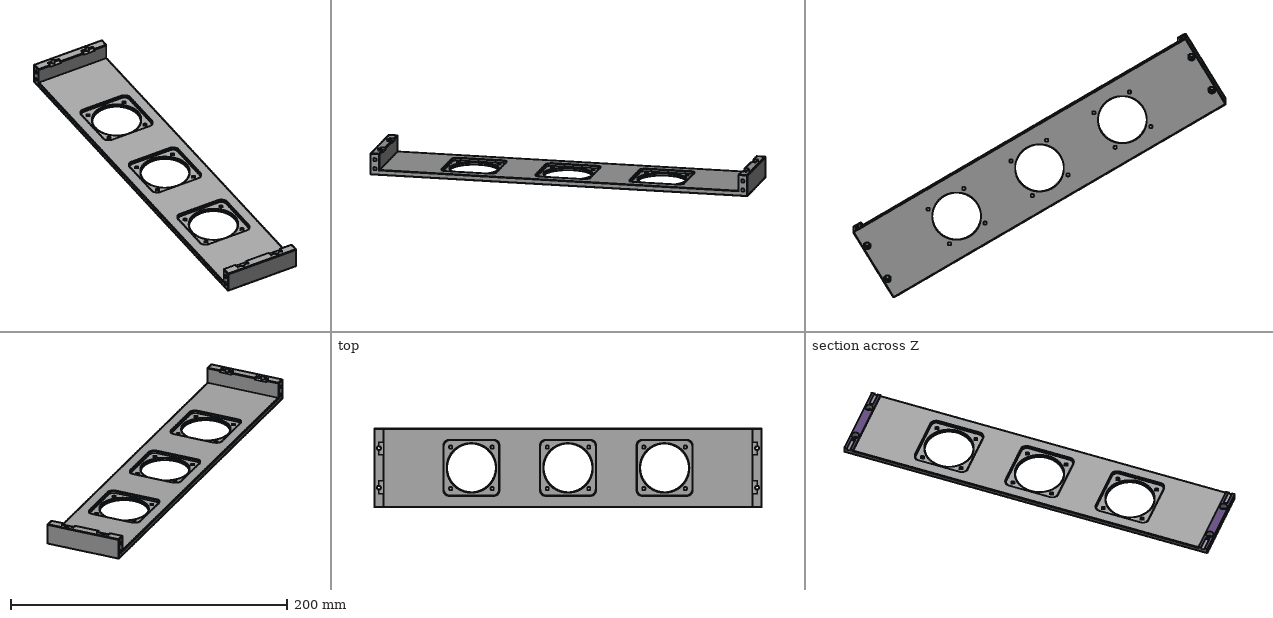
import cadquery as cq

length = 281.0
width = 57.3
height = 16.0
plate_thickness = 4.0
wall_thickness = 7.0

edge_break = 0.5
bevel_taper = -45

fan_spacing = 70.0
recess_side = 40.0
recess_corner_radius = 8.2 / 2
recess_depth = 2.0
opening_diameter = 35.0
fan_screw_spacing = 30.0
fan_screw_diameter = 2.5
fan_screw_depth = 1.5

wall_screw_spacing = width / 2
wall_screw_diameter = 2.7
head_bore_diameter = 5.0
head_bore_depth = 6.0

notch_spacing = 28.0
notch_length = 9.3
notch_depth = 1.5

end_hole_diameter = 2.5
end_hole_spacing = 6.7
end_hole_depth = 10.0

wall_middle_x = (length - wall_thickness) / 2
wall_inner_x = length / 2 - wall_thickness
recess_floor = plate_thickness - recess_depth


def make_bracket():
    """U-shaped body, bevelled on every edge except the two inner corners."""
    profile = [
        (-length / 2, 0),
        (length / 2, 0),
        (length / 2, height),
        (wall_inner_x, height),
        (wall_inner_x, plate_thickness),
        (-wall_inner_x, plate_thickness),
        (-wall_inner_x, height),
        (-length / 2, height),
    ]
    body = cq.Workplane("XZ").polyline(profile).close().extrude(width / 2, both=True)
    inner_corners = cq.selectors.BoxSelector(
        (-wall_middle_x, -edge_break, plate_thickness - edge_break),
        (wall_middle_x, edge_break, plate_thickness + edge_break),
    )
    return body.edges(cq.selectors.InverseSelector(inner_corners)).chamfer(edge_break)


def make_fan_seat(center_x):
    """Volume removed for one fan: bevelled recess and opening, corner screw holes."""

    def plane_at(z):
        return cq.Workplane("XY", origin=(center_x, 0, z))

    outline = (
        cq.Sketch()
        .rect(recess_side, recess_side)
        .vertices()
        .fillet(recess_corner_radius)
    )
    opening_radius = opening_diameter / 2
    recess = plane_at(recess_floor).placeSketch(outline).extrude(recess_depth)
    rim_bevel = (
        plane_at(plate_thickness - edge_break)
        .placeSketch(outline)
        .extrude(edge_break, taper=bevel_taper)
    )
    opening = plane_at(0).circle(opening_radius).extrude(plate_thickness)
    opening_bevel = (
        plane_at(recess_floor - edge_break)
        .circle(opening_radius)
        .extrude(edge_break, taper=bevel_taper)
    )
    screw_holes = (
        plane_at(recess_floor - fan_screw_depth)
        .rect(fan_screw_spacing, fan_screw_spacing, forConstruction=True)
        .vertices()
        .circle(fan_screw_diameter / 2)
        .extrude(fan_screw_depth)
    )
    return recess.union(rim_bevel).union(opening).union(opening_bevel).union(screw_holes)


def make_wall_screw_holes():
    """Vertical screw holes through both walls, widened from the underside."""
    base = (
        cq.Workplane("XY")
        .rect(2 * wall_middle_x, wall_screw_spacing, forConstruction=True)
        .vertices()
    )
    shanks = base.circle(wall_screw_diameter / 2).extrude(height)
    heads = base.circle(head_bore_diameter / 2).extrude(head_bore_depth)
    return shanks.union(heads)


def make_notches():
    """Shallow notches from each wall's inner face to its mid-plane."""
    notch_middle_x = (wall_inner_x + wall_middle_x) / 2
    return (
        cq.Workplane("XY", origin=(0, 0, height - notch_depth))
        .rect(2 * notch_middle_x, notch_spacing, forConstruction=True)
        .vertices()
        .rect(wall_thickness / 2, notch_length)
        .extrude(notch_depth)
    )


def make_end_holes():
    """Blind holes along Y, one pair in each end of each wall."""
    front_holes = (
        cq.Workplane("XZ", origin=(0, -width / 2, height / 2))
        .rect(2 * wall_middle_x, end_hole_spacing, forConstruction=True)
        .vertices()
        .circle(end_hole_diameter / 2)
        .extrude(-end_hole_depth)
    )
    return front_holes.union(front_holes.mirror("XZ"))


result = make_bracket()
for position in (-1, 0, 1):
    result = result.cut(make_fan_seat(position * fan_spacing))
result = result.cut(make_wall_screw_holes())
result = result.cut(make_notches())
result = result.cut(make_end_holes())